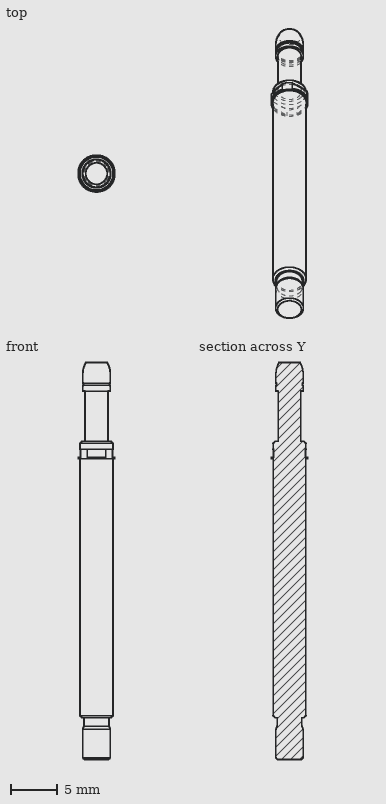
import cadquery as cq
import math

length = 43.1
rod_radius = 1.27
head_radius = 1.5
head_bottom = 40.0
head_dome_bottom = 41.85
tip_radius = 1.15
groove_bottom = 40.6
groove_height = 0.25
groove_depth = 0.1

barrel_radius = 1.8
barrel_bottom = 4.53
barrel_top = 34.55
barrel_chamfer = 0.25
collar_radius = 2.005
collar_bottom = 32.65
collar_top = 33.7
collar_rim_height = 0.15
flat_distance = 1.745

tail_radius = 1.5
tail_height = 3.3
tail_chamfer = 0.2
neck_radius = 1.4
neck_cone_height = 0.3


def cylinder(radius, bottom, top):
    return cq.Workplane("XY").workplane(offset=bottom).circle(radius).extrude(top - bottom)


def make_tail():
    tail = cylinder(tail_radius, 0, tail_height).faces("<Z").chamfer(tail_chamfer)
    shoulder = cq.Workplane(
        cq.Solid.makeCone(tail_radius, neck_radius, neck_cone_height, pnt=cq.Vector(0, 0, tail_height))
    )
    neck = cylinder(neck_radius, tail_height, barrel_bottom)
    return tail.union(shoulder).union(neck)


def make_barrel():
    barrel = cylinder(barrel_radius, barrel_bottom, barrel_top)
    return barrel.faces("<Z or >Z").chamfer(barrel_chamfer)


def make_collared_barrel():
    """Barrel with a ring whose four flats stand on a thin full-round rim."""
    rim_top = collar_bottom + collar_rim_height
    collar = cylinder(collar_radius, collar_bottom, collar_top)
    outside_flats = (
        cq.Workplane("XY")
        .workplane(offset=rim_top)
        .rect(4 * collar_radius, 4 * collar_radius)
        .rect(2 * flat_distance, 2 * flat_distance)
        .extrude(collar_top - rim_top)
    )
    return make_barrel().union(collar).cut(outside_flats)


def make_dome():
    """Flat-topped dome whose curved side starts tangent to the head."""
    height = length - head_dome_bottom
    inset = head_radius - tip_radius
    arc_radius = (height**2 + inset**2) / (2 * inset)
    half_angle = math.asin(height / arc_radius) / 2
    dome_middle = (
        head_radius - arc_radius * (1 - math.cos(half_angle)),
        head_dome_bottom + arc_radius * math.sin(half_angle),
    )
    return (
        cq.Workplane("XZ")
        .moveTo(0, head_dome_bottom)
        .lineTo(head_radius, head_dome_bottom)
        .threePointArc(dome_middle, (tip_radius, length))
        .lineTo(0, length)
        .close()
        .revolve()
    )


def make_plunger():
    rod = cylinder(rod_radius, barrel_top, head_bottom)
    head = cylinder(head_radius, head_bottom, head_dome_bottom)
    groove = cylinder(head_radius, groove_bottom, groove_bottom + groove_height).cut(
        cylinder(head_radius - groove_depth, groove_bottom, groove_bottom + groove_height)
    )
    return rod.union(head).union(make_dome()).cut(groove)


result = make_tail().union(make_collared_barrel()).union(make_plunger())